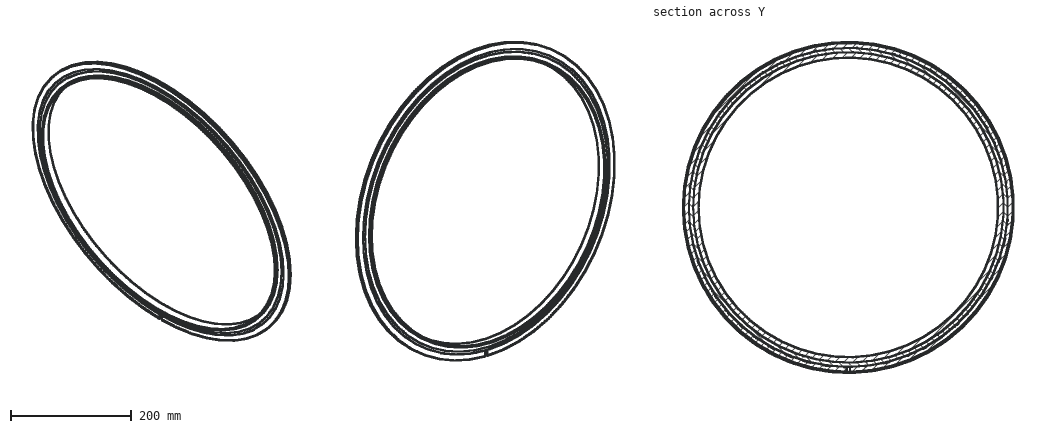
import cadquery as cq

outer_radius = 274.0
overall_width = 14.0
sleeve_inner_radius = 247.5
sleeve_outer_radius = 250.5
plate_thickness = 5.5
seal_radius = 261.0
seal_diameter = 7.0
band_diameter = 1.5
notch_width = 5.0

band_radius = outer_radius - band_diameter / 2


def washer(inner_radius, radius, width):
    """Flat ring around Y, centred on Y = 0."""
    return (
        cq.Workplane("XZ")
        .circle(radius)
        .circle(inner_radius)
        .extrude(width / 2, both=True)
    )


def round_ring(centre_radius, diameter):
    """Ring of round section around Y."""
    return (
        cq.Workplane("XY")
        .center(centre_radius, 0)
        .circle(diameter / 2)
        .revolve(360, (-centre_radius, 0), (-centre_radius, 1))
    )


def make_centring_ring(seal):
    """Wide sleeve with a thin web whose outer edge cradles the O-ring."""
    sleeve = washer(sleeve_inner_radius, sleeve_outer_radius, overall_width)
    web = washer(sleeve_outer_radius, seal_radius, plate_thickness)
    return sleeve.union(web.cut(seal))


def make_outer_ring(seal, band):
    """Split ring seated on the O-ring, with a rim groove for the band."""
    ring = washer(seal_radius, outer_radius, plate_thickness)
    notch = (
        cq.Workplane("XY")
        .rect(notch_width, overall_width)
        .extrude(-outer_radius)
    )
    groove_mouth = washer(band_radius, outer_radius, band_diameter)
    return ring.cut(notch).cut(seal).cut(band).cut(groove_mouth)


seal_ring = round_ring(seal_radius, seal_diameter)
retaining_band = round_ring(band_radius, band_diameter)
centring_ring = make_centring_ring(seal_ring)
outer_ring = make_outer_ring(seal_ring, retaining_band)

result = cq.Compound.makeCompound([
    centring_ring.val(),
    seal_ring.val(),
    outer_ring.val(),
    retaining_band.val(),
])